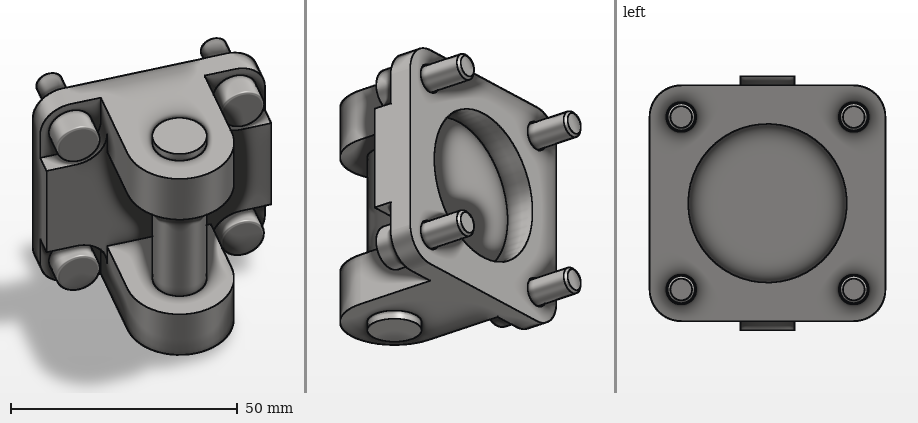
import cadquery as cq


plate_size = 52.0
corner_radius = 7.0
plate_thickness = 5.5
boss_depth = 10.0
recess_diameter = 35.0
recess_depth = 7.0

screw_offset = plate_size / 2 - corner_radius
pocket_radius = corner_radius
arm_width = 2 * (screw_offset - pocket_radius)

lug_radius = arm_width / 2
lug_gap = 28.0
lug_thickness = (plate_size - lug_gap) / 2
pin_axis_x = 25.0
pin_diameter = 12.0
pin_length = 56.0

clearance_diameter = 6.6
shank_diameter = 6.0
shank_length = 16.0
tip_chamfer = 0.6
head_diameter = 10.0
head_height = 6.0
head_fillet = 0.6

screw_centres = [(y, z) for y in (-screw_offset, screw_offset) for z in (-screw_offset, screw_offset)]


def make_plate_and_boss():
    """Rounded square block, cut back to plate thickness by a pocket at each corner."""
    body = (
        cq.Workplane("YZ")
        .rect(plate_size, plate_size)
        .extrude(boss_depth)
        .edges("|X")
        .fillet(corner_radius)
    )
    pocket_size = 4 * pocket_radius
    pocket_offset = arm_width / 2 + pocket_size / 2
    pockets = (
        cq.Workplane("YZ", origin=(plate_thickness, 0, 0))
        .rect(2 * pocket_offset, 2 * pocket_offset, forConstruction=True)
        .vertices()
        .rect(pocket_size, pocket_size)
        .extrude(boss_depth - plate_thickness)
        .edges("|X")
        .fillet(pocket_radius)
    )
    return body.cut(pockets)


def make_lug(bottom_z):
    """Flat lug with a round end centred on the pin axis."""
    return (
        cq.Workplane("XY", origin=(0, 0, bottom_z))
        .moveTo(plate_thickness, -lug_radius)
        .lineTo(pin_axis_x, -lug_radius)
        .threePointArc((pin_axis_x + lug_radius, 0), (pin_axis_x, lug_radius))
        .lineTo(plate_thickness, lug_radius)
        .close()
        .extrude(lug_thickness)
    )


def make_pin():
    """Cross pin through both lugs, standing slightly proud of each."""
    return (
        cq.Workplane("XY", origin=(pin_axis_x, 0, -pin_length / 2))
        .circle(pin_diameter / 2)
        .extrude(pin_length)
    )


def make_bracket():
    """Plate, boss, lugs and pin as one solid, with the round recess and screw holes."""
    bracket = make_plate_and_boss()
    for bottom_z in (-plate_size / 2, lug_gap / 2):
        bracket = bracket.union(make_lug(bottom_z))
    bracket = bracket.union(make_pin())

    recess = cq.Workplane("YZ").circle(recess_diameter / 2).extrude(recess_depth)
    screw_holes = (
        cq.Workplane("YZ")
        .pushPoints(screw_centres)
        .circle(clearance_diameter / 2)
        .extrude(plate_thickness)
    )
    return bracket.cut(recess).cut(screw_holes)


def make_screw(y, z):
    """Cap screw with its head seated on the pocket floor and its tip towards -X."""
    seat = cq.Workplane("YZ", origin=(plate_thickness, y, z))
    head = (
        seat.circle(head_diameter / 2)
        .extrude(head_height)
        .faces(">X")
        .edges()
        .fillet(head_fillet)
    )
    shank = (
        seat.circle(shank_diameter / 2)
        .extrude(-shank_length)
        .faces("<X")
        .edges()
        .chamfer(tip_chamfer)
    )
    return head.union(shank)


bracket = make_bracket()
screws = [make_screw(y, z) for y, z in screw_centres]

result = cq.Compound.makeCompound([bracket.val(), *[screw.val() for screw in screws]])